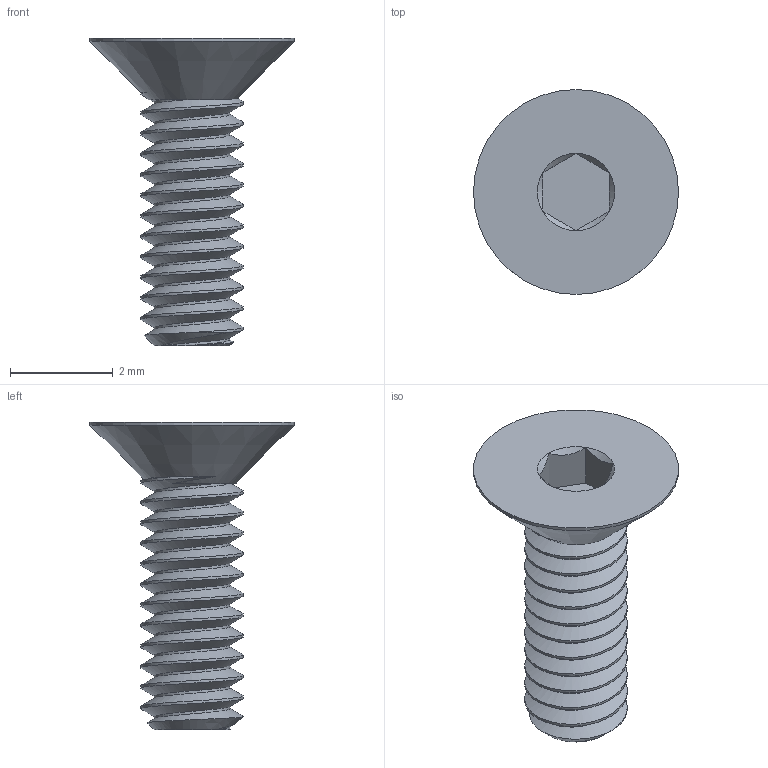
import cadquery as cq
import math


screw_length = 6.0
major_diameter = 2.0
major_radius = major_diameter / 2
pitch = 0.4

flat_width = pitch / 8
half_flank_angle = math.radians(30)
flank_width = pitch / 2 - flat_width
thread_depth = flank_width / math.tan(half_flank_angle)
root_radius = major_radius - thread_depth
first_crest_depth = 0.865
root_overlap = 0.03

head_diameter = 4.0
head_radius = head_diameter / 2
rim_height = 0.06
head_height = 1.2
cone_end_radius = head_radius - (head_height - rim_height)

tip_radius = root_radius
trim_clearance = 0.05

socket_across_flats = 1.3
socket_corner_radius = socket_across_flats / math.sqrt(3)
socket_depth = 0.85
socket_lead_in_radius = 0.755


def revolved(points):
    """Revolve an (r, z) outline about the Z axis."""
    return cq.Workplane("XZ").polyline(points).close().revolve(360, (0, 0), (0, 1))


def make_head():
    return revolved([
        (0, 0),
        (head_radius, 0),
        (head_radius, -rim_height),
        (cone_end_radius, -head_height),
        (0, -head_height),
    ])


def make_thread_ridge():
    """Right-handed ridge that starts below the tip and ends inside the head."""
    turns = math.ceil((screw_length - first_crest_depth) / pitch) + 1
    ridge_height = turns * pitch
    start_z = -first_crest_depth - ridge_height
    half_crest = flat_width / 2
    base_radius = root_radius - root_overlap
    half_base = half_crest + (major_radius - base_radius) * math.tan(half_flank_angle)
    profile = (
        cq.Workplane("XZ", origin=(0, 0, start_z))
        .moveTo(base_radius, -half_base)
        .lineTo(major_radius, -half_crest)
        .lineTo(major_radius, half_crest)
        .lineTo(base_radius, half_base)
        .close()
    )
    helix = cq.Wire.makeHelix(pitch, ridge_height, major_radius, center=cq.Vector(0, 0, start_z))
    return profile.sweep(cq.Workplane(obj=helix), isFrenet=True)


def make_shank():
    """Threaded shank, trimmed to length and chamfered at the tip."""
    core = cq.Workplane("XY").circle(root_radius).extrude(-screw_length)
    envelope_radius = major_radius + trim_clearance
    chamfer_top = -screw_length + (envelope_radius - tip_radius)
    envelope = revolved([
        (0, 0),
        (envelope_radius, 0),
        (envelope_radius, chamfer_top),
        (tip_radius, -screw_length),
        (0, -screw_length),
    ])
    return core.union(make_thread_ridge().intersect(envelope))


def make_socket():
    """Hexagonal recess with corners on the Y axis and a conical lead-in."""
    hexagon = (
        cq.Workplane("XY")
        .transformed(rotate=(0, 0, 90))
        .polygon(6, 2 * socket_corner_radius)
        .extrude(-socket_depth)
    )
    lead_in = revolved([(0, 0), (socket_lead_in_radius, 0), (0, -socket_lead_in_radius)])
    return hexagon.union(lead_in)


result = make_head().union(make_shank()).cut(make_socket())